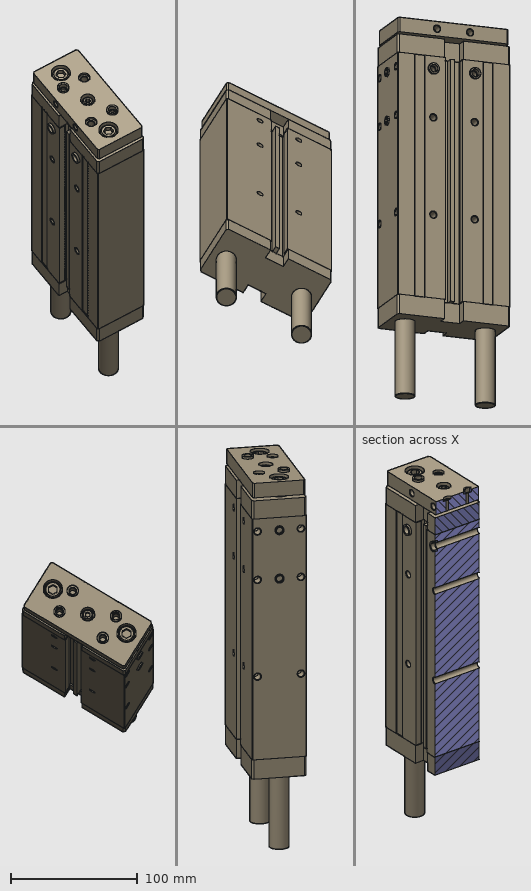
import cadquery as cq


total_height = 307.8
width = 95.0
depth = 44.0
front = -depth / 2
left = -width / 2
housing_chamfer = 0.5
cap_chamfer = 1.5
plate_chamfer = 1.2

body_bottom = 61.5
body_top = 291.8
head_cap_height = 15.0
end_cap_height = 16.0
plate_gap = 2.2
sleeve_rise = 2.0
housing_bottom = body_bottom + end_cap_height
housing_top = body_top - head_cap_height
plate_bottom = body_top + plate_gap
plate_top = total_height - sleeve_rise
plate_height = plate_top - plate_bottom

guide_rod_diameter = 16.0
guide_rod_spacing = 68.0
guide_rod_y = -2.92
rod_end_chamfer = 0.45
piston_rod_diameter = 11.0

guide_counterbore = 15.0
guide_head = 13.0
guide_hexagon = 6.8
piston_counterbore = 11.0
piston_head = 8.5
piston_hexagon = 3.7
counterbore_depth = 8.0
head_recess = 1.5
head_chamfer = 1.0
hexagon_depth = 3.7

plate_inset = 1.0
plate_width = width - 2 * plate_inset
plate_depth = depth - 2 * plate_inset
plate_hole_spacing_x = 40.0
plate_hole_spacing_y = 20.0
plate_front_hole_spacing = 28.0
plate_front_hole_depth = 9.2

thread_diameter = 5.2
countersink_diameter = 6.2
countersink_depth = (countersink_diameter - thread_diameter) / 2
drill_tip_ratio = 0.3

sleeve_outer = 9.0
sleeve_inner = 6.2
sleeve_length = 4.0
recess_depth = sleeve_length - sleeve_rise

channel_width = 14.5
channel_depth = 9.2
channel_lip = 5.5
channel_inner_width = 16.0
rib_width = 3.5
rib_setback = 3.0
groove_width = 8.3
groove_offset = 29.0
groove_depth = 1.0
mount_spacing = 35.0
mount_heights = [266.2, 226.2, 146.2]
side_hole_depth = 9.2

cap_notch_width = 16.0
cap_notch_depth = 8.0

plug_heights = mount_heights[:2]
plug_diameter = 7.0
plug_rise = 1.2
plug_seat_depth = 4.5
plug_socket_diameter = 5.2
plug_socket_depth = 1.5

guide_rod_points = [(side * guide_rod_spacing / 2, guide_rod_y) for side in (-1, 1)]
piston_rod_point = (0, 0)
plate_hole_points = [
    (sx * plate_hole_spacing_x / 2, sy * plate_hole_spacing_y / 2) for sx in (-1, 1) for sy in (-1, 1)
]
plate_sleeve_points = [plate_hole_points[0], plate_hole_points[-1]]
sleeve_height = mount_heights[0]
mount_sides = [-mount_spacing / 2, mount_spacing / 2]

INTO_Y = cq.Vector(0, 1, 0)
INTO_X = cq.Vector(1, 0, 0)
UP = cq.Vector(0, 0, 1)
DOWN = cq.Vector(0, 0, -1)


def cylinder(diameter, length, base, direction=UP):
    return cq.Solid.makeCylinder(diameter / 2, length, cq.Vector(*base), direction)


def countersink(base, direction):
    return cq.Solid.makeCone(
        countersink_diameter / 2, thread_diameter / 2, countersink_depth, cq.Vector(*base), direction
    )


def through_hole(length, base, direction):
    """A countersunk threaded hole that runs right through."""
    return cylinder(thread_diameter, length, base, direction).fuse(countersink(base, direction))


def blind_hole(length, base, direction):
    """A countersunk threaded hole with a cone at its inner end."""
    tip_base = cq.Vector(*base) + direction * length
    tip_height = thread_diameter * drill_tip_ratio
    tip = cq.Solid.makeCone(thread_diameter / 2, 0, tip_height, tip_base, direction)
    return through_hole(length, base, direction).fuse(tip)


def hexagon_prism(across_flats, length, base, direction=UP):
    plane = cq.Plane(origin=base, xDir=(0, 1, 0), normal=direction.toTuple())
    return cq.Workplane(plane).polygon(6, across_flats, circumscribed=True).extrude(length)


def block(x_size, y_size, bottom, height):
    return cq.Workplane("XY", origin=(0, 0, bottom)).box(x_size, y_size, height, centered=(True, True, False))


def rod_bores(bottom, height):
    """Cutters for the two guide rods through a housing part."""
    return [cylinder(guide_rod_diameter, height, (x, y, bottom)) for x, y in guide_rod_points]


def make_housing():
    height = housing_top - housing_bottom
    housing = block(width, depth, housing_bottom, height).edges("|Z").chamfer(housing_chamfer)

    inner_depth = channel_depth - channel_lip
    rib_height = channel_depth - rib_setback
    for side in (-1, 1):
        floor_y = side * (depth / 2 - channel_depth)
        mouth = block(channel_width, channel_depth, housing_bottom, height)
        inside = block(channel_inner_width, inner_depth, housing_bottom, height)
        rib = block(rib_width, rib_height, housing_bottom, height)
        housing = housing.cut(mouth.translate((0, floor_y + side * channel_depth / 2, 0)))
        housing = housing.cut(inside.translate((0, floor_y + side * inner_depth / 2, 0)))
        housing = housing.union(rib.translate((0, floor_y + side * rib_height / 2, 0)))

    for side in (-1, 1):
        groove = block(groove_width, groove_depth, housing_bottom, height)
        groove_y = front + groove_depth / 2
        housing = housing.cut(groove.translate((side * groove_offset, groove_y, 0)))

    for bore in rod_bores(housing_bottom, height):
        housing = housing.cut(cq.Workplane(bore))

    for x in mount_sides:
        for z in mount_heights:
            mouth_y = front
            if z == sleeve_height:
                recess = cylinder(sleeve_outer, recess_depth, (x, front, z), INTO_Y)
                housing = housing.cut(cq.Workplane(recess))
                mouth_y = front + recess_depth
            hole = through_hole(depth, (x, mouth_y, z), INTO_Y)
            housing = housing.cut(cq.Workplane(hole))

    for y in mount_sides:
        for z in mount_heights:
            hole = blind_hole(side_hole_depth, (left, y, z), INTO_X)
            housing = housing.cut(cq.Workplane(hole))

    for z in plug_heights:
        port = cylinder(plug_diameter, plug_seat_depth, (left, 0, z), INTO_X)
        housing = housing.cut(cq.Workplane(port))
    return housing


def make_cap(bottom, height):
    """A cap as wide and deep as the housing, notched at the middle of the front and back."""
    cap = block(width, depth, bottom, height).edges("|Z").chamfer(cap_chamfer)
    for side in (-1, 1):
        notch = block(cap_notch_width, cap_notch_depth, bottom, height)
        cap = cap.cut(notch.translate((0, side * (depth - cap_notch_depth) / 2, 0)))
    for bore in rod_bores(bottom, height):
        cap = cap.cut(cq.Workplane(bore))
    return cap


def make_head_cap():
    piston_bore = cylinder(piston_rod_diameter, head_cap_height, (*piston_rod_point, housing_top))
    return make_cap(housing_top, head_cap_height).cut(cq.Workplane(piston_bore))


def screw_seat(plate, point, counterbore, head, hexagon):
    """Sink a counterbore in the plate and stand a socket screw head in it."""
    floor = plate_top - counterbore_depth
    plate = plate.cut(cq.Workplane(cylinder(counterbore, counterbore_depth, (*point, floor))))
    head_height = counterbore_depth - head_recess
    screw = cq.Workplane(cylinder(head, head_height, (*point, floor))).faces(">Z").chamfer(head_chamfer)
    socket_floor = floor + head_height - hexagon_depth
    screw = screw.cut(hexagon_prism(hexagon, hexagon_depth, (*point, socket_floor)))
    return plate.union(screw)


def make_carriage():
    """The yoke plate with its screws, guide rods and piston rod."""
    carriage = block(plate_width, plate_depth, plate_bottom, plate_height)
    carriage = carriage.edges("|Z").chamfer(plate_chamfer)

    for point in plate_hole_points:
        recess = cylinder(sleeve_outer, recess_depth, (*point, plate_top), DOWN)
        hole = through_hole(plate_height, (*point, plate_top - recess_depth), DOWN)
        carriage = carriage.cut(cq.Workplane(recess)).cut(cq.Workplane(hole))

    for side in (-1, 1):
        mouth = (side * plate_front_hole_spacing / 2, -plate_depth / 2, (plate_bottom + plate_top) / 2)
        hole = blind_hole(plate_front_hole_depth, mouth, INTO_Y)
        carriage = carriage.cut(cq.Workplane(hole))

    for point in guide_rod_points:
        carriage = screw_seat(carriage, point, guide_counterbore, guide_head, guide_hexagon)
        rod = cq.Workplane(cylinder(guide_rod_diameter, plate_bottom, (*point, 0)))
        carriage = carriage.union(rod.faces("<Z").chamfer(rod_end_chamfer))

    carriage = screw_seat(carriage, piston_rod_point, piston_counterbore, piston_head, piston_hexagon)
    piston_rod = cylinder(piston_rod_diameter, plate_bottom - housing_top, (*piston_rod_point, housing_top))
    return carriage.union(cq.Workplane(piston_rod))


def make_sleeve(base, direction):
    """A centring sleeve whose inner end rests on a recess floor."""
    outside = cylinder(sleeve_outer, sleeve_length, base, direction)
    inside = cylinder(sleeve_inner, sleeve_length, base, direction)
    return cq.Workplane(outside).cut(cq.Workplane(inside))


def make_plug(z):
    """A round port plug with an open socket, standing out of the left side."""
    face = left - plug_rise
    body = cylinder(plug_diameter, plug_rise + plug_seat_depth, (face, 0, z), INTO_X)
    socket = cylinder(plug_socket_diameter, plug_socket_depth, (face, 0, z), INTO_X)
    return cq.Workplane(body).cut(cq.Workplane(socket))


housing = make_housing()
head_cap = make_head_cap()
end_cap = make_cap(body_bottom, end_cap_height)
carriage = make_carriage()
plate_sleeves = [make_sleeve((x, y, plate_top - recess_depth), UP) for x, y in plate_sleeve_points]
housing_sleeves = [
    make_sleeve((x, front - sleeve_rise, sleeve_height), INTO_Y) for x in mount_sides
]
port_plugs = [make_plug(z) for z in plug_heights]

bodies = [housing, head_cap, end_cap, carriage, *plate_sleeves, *housing_sleeves, *port_plugs]
result = cq.Compound.makeCompound([body.val() for body in bodies])